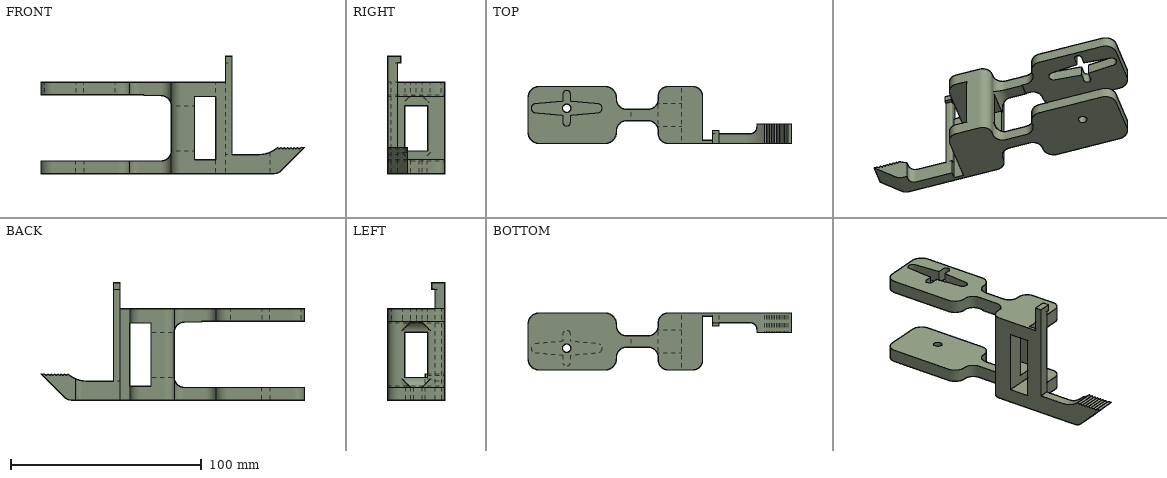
import cadquery as cq
import math

width = 30.0
body_height = 48.1
plate_thickness = 6.8
plate_length = 46.4
body_start = 68.3
body_end = 91.6
plate_corner_radius = 6.0
neck_width = 6.1
neck_sag = 0.4
neck_sag_start = 53.9
inner_radius = 5.3

window_start = 80.5
window_bottom = 7.5
window_top = 40.5
tunnel_width = 12.0

horn_x = 20.3
horn_y = 18.5
horn_arm_length = 37.0
horn_arm_tip = 5.0
horn_arm_root = 7.5
horn_bar_length = 18.8
horn_bar_width = 3.7
hole_diameter = 4.3

panel_thickness = 1.8
post_start = 96.7
post_end = 100.2
post_top = 61.6
post_round = 1.1
hook_depth = 6.9
hook_height = 3.5

bar_depth = 5.3
bar_height = 10.1
finger_depth = 10.4
finger_top = 13.8
finger_tip = 138.2
ramp_start = 114.1
ramp_end = 124.1
heel_radius = 5.5
step_x = 120.0
step_radius = 3.3

tooth_count = 7
teeth_end = 136.2
tooth_depth = 0.8

margin = 1.4

center_y = width / 2
gap_top = body_height - plate_thickness
tooth_pitch = (teeth_end - ramp_end) / tooth_count
tunnel_bottom = plate_thickness + inner_radius
tunnel_top = gap_top - neck_sag - inner_radius


def box(x0, x1, y0, y1, z0, z1):
    """Box given by its limits along each axis."""
    return cq.Workplane("XY").box(x1 - x0, y1 - y0, z1 - z0, centered=False).translate((x0, y0, z0))


def plan_prism():
    """Plate, neck and body outline, extruded over the full body height."""
    neck_low = center_y - neck_width / 2
    neck_high = center_y + neck_width / 2
    plate = box(0, plate_length, 0, width, 0, body_height)
    neck = box(plate_length, body_start, neck_low, neck_high, 0, body_height)
    body = box(body_start, body_end, 0, width, 0, body_height)
    plate = plate.edges("|Z").fillet(plate_corner_radius)
    body = body.edges("|Z and (<X or >Y)").fillet(inner_radius)
    prism = plate.union(neck).union(body)
    neck_roots = cq.selectors.BoxSelector(
        (plate_length - margin, neck_low - margin, -margin),
        (body_start + margin, neck_high + margin, body_height + margin),
    )
    return prism.edges("|Z").edges(neck_roots).fillet(inner_radius)


def plate_gap():
    """Space between the plates, rounded at the body wall."""
    plate_side = box(-margin, neck_sag_start, -margin, width + margin, plate_thickness, gap_top)
    neck_side = box(0, body_start, -margin, width + margin, plate_thickness, gap_top - neck_sag)
    return plate_side.union(neck_side.edges("|Y and >X").fillet(inner_radius))


def horn_slot():
    """Cross-shaped slot with rounded arms, tapered along X."""
    tip_y = horn_arm_tip / 2
    tip_x = horn_arm_length / 2 - tip_y
    root_x = horn_bar_width / 2
    root_y = horn_arm_root / 2
    arm = (
        cq.Workplane("XY")
        .moveTo(-tip_x, -tip_y)
        .lineTo(-root_x, -root_y)
        .lineTo(root_x, -root_y)
        .lineTo(tip_x, -tip_y)
        .threePointArc((horn_arm_length / 2, 0), (tip_x, tip_y))
        .lineTo(root_x, root_y)
        .lineTo(-root_x, root_y)
        .lineTo(-tip_x, tip_y)
        .threePointArc((-horn_arm_length / 2, 0), (-tip_x, -tip_y))
        .close()
        .extrude(plate_thickness)
    )
    bar = cq.Workplane("XY").slot2D(horn_bar_length, horn_bar_width, 90).extrude(plate_thickness)
    return arm.union(bar).translate((horn_x, horn_y, gap_top))


def pivot_hole():
    """Round hole through the lower plate, below the cross slot."""
    return cq.Workplane("XY").center(horn_x, horn_y).circle(hole_diameter / 2).extrude(plate_thickness)


def post():
    """Upright post with a hook at its top and a rounded rear edge."""
    column = box(post_start, post_end, 0, bar_depth, 0, post_top)
    column = column.edges("|Z and <X and >Y").fillet(post_round)
    hook = box(post_start, post_end, 0, hook_depth, post_top - hook_height, post_top)
    return column.union(hook)


def finger():
    """Bar that curves up into a wider, toothed finger tip."""
    rise = finger_top - bar_height
    run = ramp_end - ramp_start
    ramp_radius = (run**2 + rise**2) / (2 * rise)
    half_angle = math.asin(run / ramp_radius) / 2
    ramp_mid = (
        ramp_start + ramp_radius * math.sin(half_angle),
        bar_height + ramp_radius * (1 - math.cos(half_angle)),
    )
    tip_angle = math.radians(45)
    half_tip = tip_angle / 2
    heel_x = finger_tip - finger_top / math.tan(tip_angle)
    heel_tangent = heel_radius * math.tan(half_tip)
    heel_end = (
        heel_x + heel_tangent * math.cos(tip_angle),
        heel_tangent * math.sin(tip_angle),
    )
    heel_mid = (
        heel_x - heel_tangent + heel_radius * math.sin(half_tip),
        heel_radius * (1 - math.cos(half_tip)),
    )
    profile = (
        cq.Workplane("XZ")
        .moveTo(post_start, 0)
        .lineTo(heel_x - heel_tangent, 0)
        .threePointArc(heel_mid, heel_end)
        .lineTo(finger_tip, finger_top)
    )
    for index in reversed(range(tooth_count)):
        tooth_x = ramp_end + index * tooth_pitch
        profile = profile.lineTo(tooth_x + tooth_pitch, finger_top)
        profile = profile.lineTo(tooth_x + tooth_pitch / 2, finger_top - tooth_depth)
    solid = (
        profile.lineTo(ramp_end, finger_top)
        .threePointArc(ramp_mid, (ramp_start, bar_height))
        .lineTo(post_start, bar_height)
        .close()
        .extrude(-finger_depth)
    )
    relief = box(
        post_start - margin, step_x, bar_depth, finger_depth + margin, -margin, finger_top + margin
    )
    return solid.cut(relief.edges("|Z and >X and <Y").fillet(step_radius))


frame = plan_prism().cut(plate_gap())
frame = frame.union(box(body_end, post_start, 0, panel_thickness, 0, body_height))

window = box(window_start, body_end, -margin, width + margin, window_bottom, window_top)
tunnel = box(
    body_start,
    body_end,
    center_y - tunnel_width / 2,
    center_y + tunnel_width / 2,
    tunnel_bottom,
    tunnel_top,
)
frame = frame.cut(window).cut(horn_slot()).cut(tunnel).cut(pivot_hole())

result = frame.union(post()).union(finger())